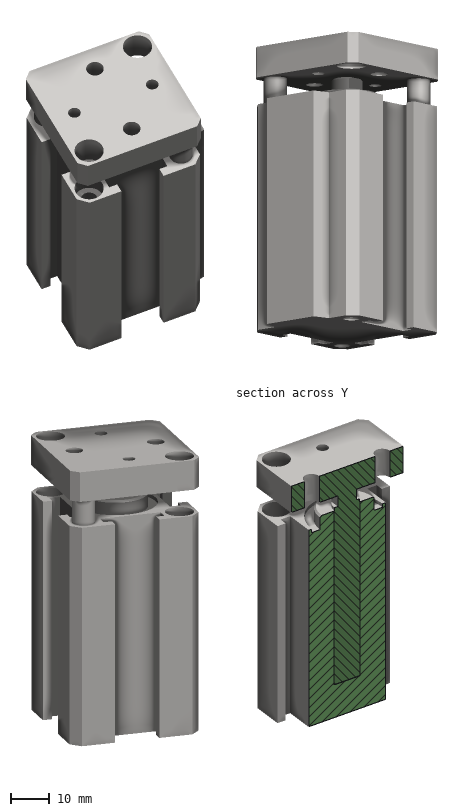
import cadquery as cq
import math

WIDTH = 35.0
TOTAL_HEIGHT = 74.0
TOTAL_DEPTH = 39.5
PLATE_THICKNESS = 8.0
STROKE_GAP = 7.0
HALF_WIDTH = WIDTH / 2
PLATE_BOTTOM = TOTAL_HEIGHT - PLATE_THICKNESS
HOUSING_HEIGHT = PLATE_BOTTOM - STROKE_GAP

HOUSING_CORNER = 2.5
PLATE_CORNER = 2.0

SLOT_MOUTH_WIDTH = 12.0
SLOT_INNER_WIDTH = 16.5
SLOT_LIP = 2.5
SLOT_DEPTH = 5.5

RIB_TIP_WIDTH = 16.0
RIB_SLOPE = 15.0
RIB_REACH = TOTAL_DEPTH - WIDTH

COLLAR_DIAMETER = 17.0
COLLAR_HEIGHT = 3.0
COLLAR_CHAMFER = 0.5
RECESS_DIAMETER = 22.0
RECESS_DEPTH = 1.0

GUIDE_DIAMETER = 6.0
PISTON_ROD_DIAMETER = 8.0
PISTON_ROD_CHAMFER = 0.5
FLATS_WIDTH = 6.0
FLATS_OFFSET = 0.95
ROD_END = 10.0

CORNER_OFFSET = 13.0
GUIDE_POINTS = [(-CORNER_OFFSET, -CORNER_OFFSET), (CORNER_OFFSET, CORNER_OFFSET)]
BOLT_POINTS = [(-CORNER_OFFSET, CORNER_OFFSET), (CORNER_OFFSET, -CORNER_OFFSET)]
BOLT_DIAMETER = 4.3
BOLT_HEAD_DIAMETER = 7.5
BOLT_HEAD_DEPTH = 4.4

PLATE_HOLE_OFFSET = 11.0
SIDE_HOLE_DIAMETER = 4.5
TAPPED_HOLE_DIAMETER = 3.25


def chamfered_block(bottom, height, corner):
    """Square block with chamfered vertical edges."""
    block = cq.Workplane("XY", origin=(0, 0, bottom)).rect(WIDTH, WIDTH).extrude(height)
    return block.edges("|Z").chamfer(corner)


def cylinders(points, diameter, bottom, top):
    """Upright cylinders between two heights."""
    plane = cq.Workplane("XY", origin=(0, 0, bottom))
    return plane.pushPoints(points).circle(diameter / 2).extrude(top - bottom)


def t_slot(angle):
    """Cutter for a full-height T-slot in the -Y side, turned about the Z axis."""
    mouth = cq.Workplane("XY").center(0, -HALF_WIDTH + SLOT_DEPTH / 2)
    mouth = mouth.rect(SLOT_MOUTH_WIDTH, SLOT_DEPTH).extrude(HOUSING_HEIGHT)
    inner_depth = SLOT_DEPTH - SLOT_LIP
    inner = cq.Workplane("XY").center(0, -HALF_WIDTH + SLOT_LIP + inner_depth / 2)
    inner = inner.rect(SLOT_INNER_WIDTH, inner_depth).extrude(HOUSING_HEIGHT)
    return mouth.union(inner).rotate((0, 0, 0), (0, 0, 1), angle)


def rear_rib():
    """Tapered rib along the full height of the +Y side."""
    half_tip = RIB_TIP_WIDTH / 2
    half_root = half_tip + RIB_REACH * math.tan(math.radians(RIB_SLOPE))
    tip = HALF_WIDTH + RIB_REACH
    outline = [(-half_root, HALF_WIDTH), (half_root, HALF_WIDTH), (half_tip, tip), (-half_tip, tip)]
    return cq.Workplane("XY").polyline(outline).close().extrude(HOUSING_HEIGHT)


def make_housing():
    body = chamfered_block(0, HOUSING_HEIGHT, HOUSING_CORNER)
    for angle in (0, 90, -90):
        body = body.cut(t_slot(angle))
    body = body.union(rear_rib())

    recess_floor = HOUSING_HEIGHT - RECESS_DEPTH
    collar_top = HOUSING_HEIGHT + COLLAR_HEIGHT
    body = body.cut(cylinders([(0, 0)], RECESS_DIAMETER, recess_floor, HOUSING_HEIGHT))
    collar = cylinders([(0, 0)], COLLAR_DIAMETER, recess_floor, collar_top)
    body = body.union(collar.faces(">Z").edges().chamfer(COLLAR_CHAMFER))

    body = body.cut(cylinders(BOLT_POINTS, BOLT_DIAMETER, 0, HOUSING_HEIGHT))
    head_seat = HOUSING_HEIGHT - BOLT_HEAD_DEPTH
    body = body.cut(cylinders(BOLT_POINTS, BOLT_HEAD_DIAMETER, head_seat, HOUSING_HEIGHT))

    body = body.cut(cylinders(GUIDE_POINTS, GUIDE_DIAMETER, ROD_END, HOUSING_HEIGHT))
    return body.cut(cylinders([(0, 0)], PISTON_ROD_DIAMETER, ROD_END, collar_top))


def make_piston_rod():
    """Centre rod with a chamfered top end and two wrench flats facing -X and +X."""
    rod = cylinders([(0, 0)], PISTON_ROD_DIAMETER, ROD_END, PLATE_BOTTOM)
    rod = rod.faces(">Z").edges().chamfer(PISTON_ROD_CHAMFER)
    flats_bottom = HOUSING_HEIGHT + COLLAR_HEIGHT + FLATS_OFFSET
    flats_height = PLATE_BOTTOM - flats_bottom
    flat_depth = (PISTON_ROD_DIAMETER - FLATS_WIDTH) / 2
    flat_centre = (FLATS_WIDTH + flat_depth) / 2
    flats = cq.Workplane("XY", origin=(0, 0, flats_bottom))
    flats = flats.pushPoints([(-flat_centre, 0), (flat_centre, 0)])
    flats = flats.rect(flat_depth, PISTON_ROD_DIAMETER).extrude(flats_height)
    return rod.cut(flats)


def make_ram():
    """Tooling plate with its guide rods and piston rod."""
    plate = chamfered_block(PLATE_BOTTOM, PLATE_THICKNESS, PLATE_CORNER)
    side_points = [(-PLATE_HOLE_OFFSET, 0), (PLATE_HOLE_OFFSET, 0)]
    tapped_points = [(0, -PLATE_HOLE_OFFSET), (0, PLATE_HOLE_OFFSET)]
    holes = [
        (BOLT_POINTS, BOLT_HEAD_DIAMETER),
        (side_points, SIDE_HOLE_DIAMETER),
        (tapped_points, TAPPED_HOLE_DIAMETER),
    ]
    for points, diameter in holes:
        plate = plate.cut(cylinders(points, diameter, PLATE_BOTTOM, TOTAL_HEIGHT))
    guides = cylinders(GUIDE_POINTS, GUIDE_DIAMETER, ROD_END, PLATE_BOTTOM)
    return plate.union(guides).union(make_piston_rod())


housing = make_housing()
ram = make_ram()

result = cq.Compound.makeCompound([housing.val(), ram.val()])